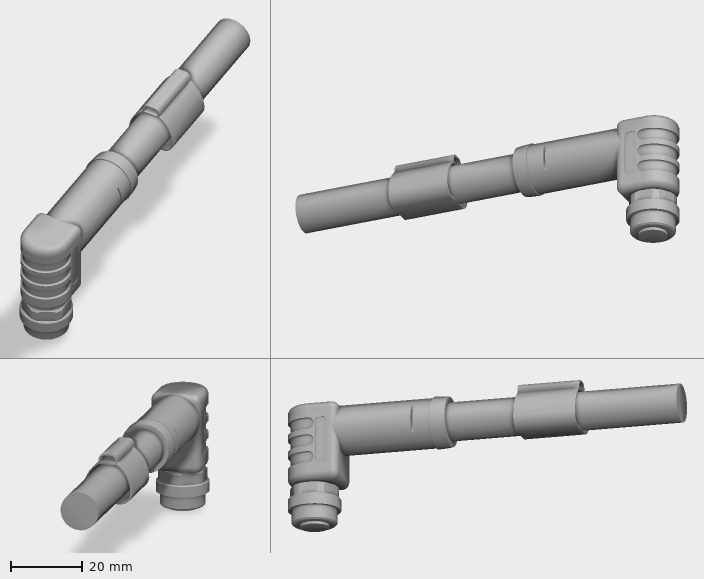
import cadquery as cq
import math


nut_collar_diameter = 15.0
nut_collar_radius = nut_collar_diameter / 2
nut_barrel_radius = 6.4
hex_across_flats = 13.0
hex_corner_radius = 7.0
nut_top = -16.2
collar_top = -19.5
collar_bottom = -22.9
nut_bottom = -27.0
hex_chamfer = 0.3
collar_chamfer = 0.2
barrel_chamfer = 0.5

tube_radius = 7.1
head_side_step = 0.06
head_half_width = tube_radius + head_side_step
head_top = 7.2
head_bottom = -15.6
head_rear = 8.6
head_fillet = 2.1
neck_radius = 5.2
core_radius = 4.1
core_bottom = -27.8

rim_start = 35.7
rim_end = 40.0
rim_radius = 7.5

slot_centre = 30.3
slot_width = 0.7
slot_floor = 6.0

groove_count = 3
groove_pitch = 4.9
groove_top_centre = 0.86
groove_depth = 0.7
groove_width = 3.3
groove_fillet = 0.3
groove_reach = 1.7

panel_front = 2.2
panel_rear = 5.5
panel_top = 2.4
panel_bottom = -10.7
panel_depth = 0.2
panel_corner = 0.9

overall_length = 114.9
cable_radius = 5.5
cable_end = overall_length - nut_collar_radius

band_start = 60.1
band_end = 78.1
band_thickness = 0.5
band_skin = 0.1
band_half_width = 7.1
band_side_height = -2.1
band_shoulder_height = 6.2
arch_half_width = 2.6
arch_flat_half_width = 0.9
arch_top = 8.8

head_centre_y = head_half_width - nut_collar_radius


def cylinder_z(radius, bottom, top):
    return cq.Workplane("XY").workplane(offset=bottom).circle(radius).extrude(top - bottom)


def both_sides(shape):
    return shape.union(shape.mirror("YZ"))


def make_head():
    """Upright block with a half-round front and every edge rounded."""
    plan = (
        cq.Workplane("XY")
        .workplane(offset=head_bottom)
        .moveTo(-head_half_width, head_rear)
        .lineTo(-head_half_width, head_centre_y)
        .threePointArc((0, head_centre_y - head_half_width), (head_half_width, head_centre_y))
        .lineTo(head_half_width, head_rear)
        .close()
    )
    head = plan.extrude(head_top - head_bottom)
    head = head.edges("|Z and >Y").fillet(head_fillet)
    return head.faces("<Z or >Z").edges().fillet(head_fillet)


def make_tube():
    """Round sleeve along Y that swells into a rim at the cable end."""
    rise = rim_radius - tube_radius
    length = rim_end - rim_start
    bulge_radius = (length**2 + rise**2) / (2 * rise)
    middle_drop = bulge_radius - math.sqrt(bulge_radius**2 - (length / 2) ** 2)
    rim_middle = ((rim_start + rim_end) / 2, rim_radius - middle_drop)
    return (
        cq.Workplane("YZ")
        .lineTo(0, tube_radius)
        .lineTo(rim_start, tube_radius)
        .lineTo(rim_start, rim_radius)
        .threePointArc(rim_middle, (rim_end, tube_radius))
        .lineTo(rim_end, 0)
        .close()
        .revolve(360, (0, 0, 0), (1, 0, 0))
    )


def groove_section(height):
    """Cross-section of a groove, with rounded corners along its floor."""
    floor_x = head_half_width - groove_depth
    wall_x = floor_x + groove_fillet
    bottom = height - groove_width / 2
    top = height + groove_width / 2
    return (
        cq.Workplane("XZ", origin=(0, head_centre_y, 0))
        .moveTo(head_half_width, bottom)
        .lineTo(head_half_width, top)
        .lineTo(wall_x, top)
        .radiusArc((floor_x, top - groove_fillet), -groove_fillet)
        .lineTo(floor_x, bottom + groove_fillet)
        .radiusArc((wall_x, bottom), -groove_fillet)
        .close()
    )


def make_groove(height):
    """Groove round the front and a little way along each side, with rounded ends."""
    end_y = groove_reach - groove_width / 2
    front = groove_section(height).revolve(180, (0, 0, 0), (0, -1, 0))
    side = groove_section(height).extrude(head_centre_y - end_y)
    rounded_end = (
        cq.Workplane("YZ", origin=(head_half_width - groove_depth, end_y, height))
        .circle(groove_width / 2)
        .extrude(groove_depth)
        .faces("<X")
        .edges()
        .fillet(groove_fillet)
    )
    return front.union(both_sides(side.union(rounded_end)))


def make_panels():
    panel = (
        cq.Workplane("XY")
        .box(panel_depth, panel_rear - panel_front, panel_top - panel_bottom)
        .edges("|X")
        .fillet(panel_corner)
        .translate(
            (
                head_half_width - panel_depth / 2,
                (panel_front + panel_rear) / 2,
                (panel_top + panel_bottom) / 2,
            )
        )
    )
    return both_sides(panel)


def make_slots():
    slot = (
        cq.Workplane("XY")
        .box(tube_radius, slot_width, 2 * tube_radius)
        .translate((slot_floor + tube_radius / 2, slot_centre, 0))
    )
    return both_sides(slot)


def make_housing():
    housing = make_head().union(make_tube())
    for index in range(groove_count):
        housing = housing.cut(make_groove(groove_top_centre - index * groove_pitch))
    housing = housing.cut(make_panels()).cut(make_slots())
    neck = cylinder_z(neck_radius, nut_top, 0)
    core = cylinder_z(core_radius, core_bottom, 0)
    return housing.union(neck).union(core)


def make_nut():
    """Coupling nut: hexagon with trimmed corners, wide collar and round barrel."""
    hex_diameter = hex_across_flats / math.cos(math.pi / 6)
    hexagon = (
        cq.Workplane("XY")
        .workplane(offset=collar_top)
        .transformed(rotate=(0, 0, 30))
        .polygon(6, hex_diameter)
        .extrude(nut_top - collar_top)
    )
    trim = cylinder_z(hex_corner_radius, collar_top, nut_top).faces(">Z").chamfer(hex_chamfer)
    collar = cylinder_z(nut_collar_radius, collar_bottom, collar_top).faces(">Z").chamfer(collar_chamfer)
    barrel = cylinder_z(nut_barrel_radius, nut_bottom, collar_bottom).faces("<Z").chamfer(barrel_chamfer)
    bore = cylinder_z(core_radius, nut_bottom, nut_top)
    return hexagon.intersect(trim).union(collar).union(barrel).cut(bore)


def make_cable():
    """Round cable that butts against the end of the housing."""
    length = cable_end - rim_end
    return cq.Workplane("XZ", origin=(0, cable_end, 0)).circle(cable_radius).extrude(length)


def make_loop(outline):
    """Solid and opening of a closed strip: the outline, and the outline moved inward."""
    length = band_end - band_start
    solid = outline.extrude(length)
    front_outline = solid.faces("<Y").wires().toPending()
    opening = front_outline.offset2D(-band_thickness).extrude(-length, combine=False)
    return solid, opening


def make_band_loop():
    """Pear-shaped loop round the cable: flat bottom, round corners, arched sides, flat top."""
    bottom = -cable_radius - band_skin
    corner = band_side_height - bottom
    bottom_half_width = band_half_width - corner
    side_run = band_half_width - arch_half_width
    side_rise = band_shoulder_height - band_side_height
    side_radius = (side_run**2 + side_rise**2) / (2 * side_run)
    half_angle = math.asin(side_rise / side_radius) / 2
    side_middle_x = band_half_width - side_radius * (1 - math.cos(half_angle))
    side_middle_z = band_side_height + side_radius * math.sin(half_angle)
    corner_middle_x = bottom_half_width + corner * math.sqrt(0.5)
    corner_middle_z = band_side_height - corner * math.sqrt(0.5)
    return make_loop(
        cq.Workplane("XZ", origin=(0, band_end, 0))
        .moveTo(-bottom_half_width, bottom)
        .lineTo(bottom_half_width, bottom)
        .threePointArc((corner_middle_x, corner_middle_z), (band_half_width, band_side_height))
        .threePointArc((side_middle_x, side_middle_z), (arch_half_width, band_shoulder_height))
        .lineTo(-arch_half_width, band_shoulder_height)
        .threePointArc((-side_middle_x, side_middle_z), (-band_half_width, band_side_height))
        .threePointArc((-corner_middle_x, corner_middle_z), (-bottom_half_width, bottom))
        .close()
    )


def make_arch_loop():
    """Tunnel with a rounded top that shares its floor with the top of the band loop."""
    floor = band_shoulder_height - band_thickness
    radius = arch_half_width - arch_flat_half_width
    spring = arch_top - radius
    return make_loop(
        cq.Workplane("XZ", origin=(0, band_end, 0))
        .moveTo(-arch_half_width, floor)
        .lineTo(arch_half_width, floor)
        .lineTo(arch_half_width, spring)
        .radiusArc((arch_flat_half_width, arch_top), -radius)
        .lineTo(-arch_flat_half_width, arch_top)
        .radiusArc((-arch_half_width, spring), -radius)
        .close()
    )


def make_marker(cable):
    """Thin strip round the cable with a tunnel on top; the cable rests in its bottom."""
    band, band_opening = make_band_loop()
    arch, arch_opening = make_arch_loop()
    return band.union(arch).cut(band_opening).cut(arch_opening).cut(cable)


housing = make_housing()
nut = make_nut()
cable = make_cable()
marker = make_marker(cable)

result = cq.Compound.makeCompound([housing.val(), nut.val(), cable.val(), marker.val()])